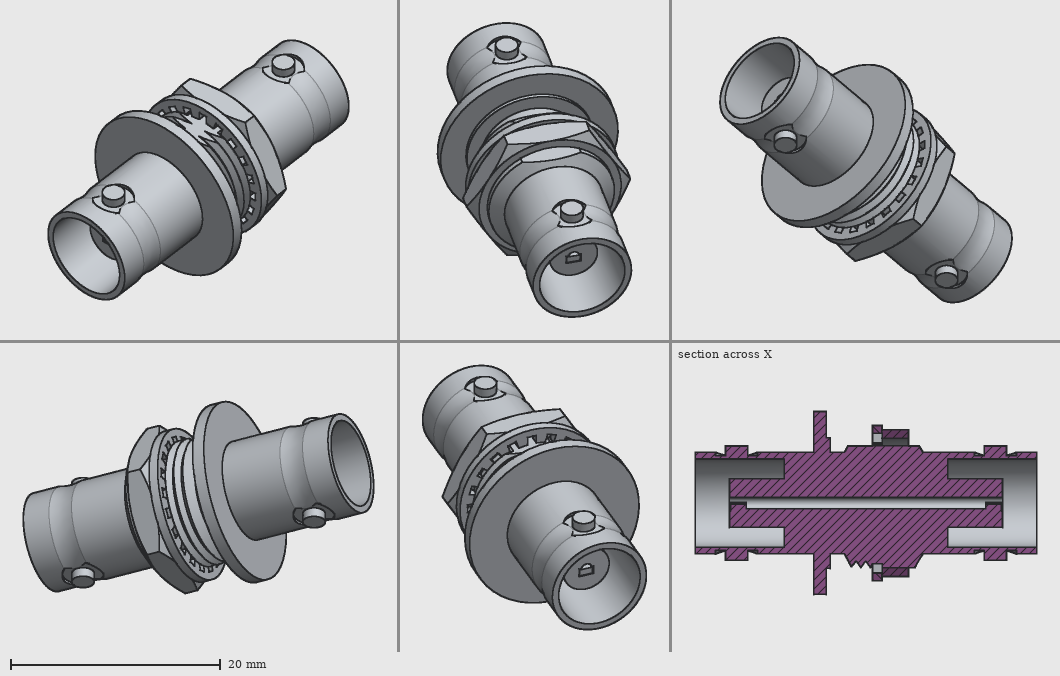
import cadquery as cq
import math


LENGTH = 32.55
END_Y = LENGTH / 2
TUBE_R = 4.85
BORE_R = 4.2
BORE_DEPTH = 8.45

INSULATOR_R = 2.35
INSULATOR_DEPTH = 3.25
CONTACT_HOLE_R = 0.52
SLOT_HALF_WIDTH = 0.75
SLOT_BOTTOM_Z = -0.75
SLOT_TOP_Z = 0.1
SLOT_DEPTH = 1.63
BLOCK_HALF_WIDTH = 0.65
BLOCK_TOP_Z = -0.05
BLOCK_RECESS = 0.1

STUD_INSET = 3.95
STUD_R = 1.07
STUD_TIP_Z = 5.47
SPOT_R = 2.0
SPOT_Z = 4.53
GROOVE_HALF_WIDTH = 1.2
GROOVE_BOTTOM_R = 4.7

FLANGE_R = 17.5 / 2
FLANGE_Y = -4.98
FLANGE_THICKNESS = 1.2
SEAT_R = 6.25
SEAT_THICKNESS = 0.4

THREAD_R = 6.2
FIRST_CREST_R = 6.1
ROOT_R = 5.55
THREAD_START_Y = -2.05
FIRST_CREST_Y = -1.4
PITCH = 0.9
CREST_COUNT = 3
THREAD_END_Y = 5.45
END_CHAMFER = 0.78
FLAT_Z = 5.47

WASHER_R = 7.42
WASHER_BORE_R = 5.8
WASHER_Y = 0.62
WASHER_THICKNESS = 0.9
TOOTH_COUNT = 20
GAP_WIDTH = 0.9
GAP_END_R = 6.65

NUT_Y = WASHER_Y + WASHER_THICKNESS
NUT_THICKNESS = 2.55
NUT_SIDES = 6
NUT_ACROSS_FLATS = 14.0
NUT_FACE_R = NUT_ACROSS_FLATS / 2
NUT_CHAMFER_ANGLE = 30.0

CUT_MARGIN = 0.33
FULL_TURN = 360
Y_AXIS = ((0, 0, 0), (0, 1, 0))


def rod(radius, y_start, length):
    """Cylinder along Y from y_start towards +Y."""
    return cq.Workplane(cq.Solid.makeCylinder(radius, length, cq.Vector(0, y_start, 0), cq.Vector(0, 1, 0)))


def block(x_half, y_start, length, z_bottom, z_top):
    """Box centred on X, from y_start towards +Y."""
    corner = (-x_half, y_start, z_bottom)
    return cq.Workplane("XY").box(2 * x_half, length, z_top - z_bottom, centered=False).translate(corner)


def threaded_middle():
    """Turned thread with ring-shaped ridges, a washer relief and a plain length under the nut."""
    profile = [(0, THREAD_START_Y), (TUBE_R, THREAD_START_Y), (FIRST_CREST_R, FIRST_CREST_Y)]
    for ridge in range(1, CREST_COUNT):
        crest_y = FIRST_CREST_Y + ridge * PITCH
        profile.append((ROOT_R, crest_y - PITCH / 2))
        profile.append((THREAD_R, crest_y))
    profile += [
        (WASHER_BORE_R, WASHER_Y),
        (WASHER_BORE_R, NUT_Y),
        (THREAD_R, NUT_Y),
        (THREAD_R, THREAD_END_Y - END_CHAMFER),
        (TUBE_R, THREAD_END_Y),
        (0, THREAD_END_Y),
    ]
    turned = cq.Workplane("XY").polyline(profile).close().revolve(FULL_TURN, *Y_AXIS)
    length = THREAD_END_Y - THREAD_START_Y
    above_flat = block(THREAD_R, THREAD_START_Y, length, FLAT_Z, 2 * FLAT_Z)
    return turned.cut(above_flat)


def bayonet_groove(center_y):
    """Ring with a shallow round inner side that cuts the bayonet groove."""
    outside_r = TUBE_R + CUT_MARGIN
    return (
        cq.Workplane("XY")
        .moveTo(outside_r, center_y - GROOVE_HALF_WIDTH)
        .lineTo(TUBE_R, center_y - GROOVE_HALF_WIDTH)
        .threePointArc((GROOVE_BOTTOM_R, center_y), (TUBE_R, center_y + GROOVE_HALF_WIDTH))
        .lineTo(outside_r, center_y + GROOVE_HALF_WIDTH)
        .close()
        .revolve(FULL_TURN, *Y_AXIS)
    )


def spot_face(center_y, side):
    """Round cutter that flattens the tube around a stud on the +Z or -Z side."""
    plane = cq.Workplane("XY", origin=(0, center_y, side * SPOT_Z))
    return plane.circle(SPOT_R).extrude(side * (TUBE_R - SPOT_Z))


def stud(center_y, side):
    """Bayonet stud rooted in the tube wall on the +Z or -Z side."""
    plane = cq.Workplane("XY", origin=(0, center_y, side * BORE_R))
    return plane.circle(STUD_R).extrude(side * (STUD_TIP_Z - BORE_R))


def front_half():
    """Front tube from the -Y end to the middle, with its bayonet details and contact opening."""
    stud_y = -END_Y + STUD_INSET
    face_y = -END_Y + INSULATOR_DEPTH
    half = rod(TUBE_R, -END_Y, END_Y).cut(bayonet_groove(stud_y))
    for side in (1, -1):
        half = half.cut(spot_face(stud_y, side)).union(stud(stud_y, side))
    half = half.cut(rod(BORE_R, -END_Y, BORE_DEPTH))
    half = half.union(rod(INSULATOR_R, face_y, END_Y - INSULATOR_DEPTH))
    half = half.cut(rod(CONTACT_HOLE_R, face_y, END_Y - INSULATOR_DEPTH))
    half = half.cut(block(SLOT_HALF_WIDTH, face_y, SLOT_DEPTH, SLOT_BOTTOM_Z, SLOT_TOP_Z))
    block_length = SLOT_DEPTH - BLOCK_RECESS
    contact = block(BLOCK_HALF_WIDTH, face_y + BLOCK_RECESS, block_length, SLOT_BOTTOM_Z, BLOCK_TOP_Z)
    return half.union(contact)


def make_connector():
    """Connector body: two alike tubes, flange, seat and thread in one piece."""
    front = front_half()
    ends = front.union(front.mirror("XZ"))
    flange = rod(FLANGE_R, FLANGE_Y, FLANGE_THICKNESS)
    seat = rod(SEAT_R, FLANGE_Y + FLANGE_THICKNESS, SEAT_THICKNESS)
    collar = flange.union(seat).union(threaded_middle())
    collar = collar.cut(rod(BORE_R, -END_Y, LENGTH))
    return ends.union(collar)


def make_washer():
    """Lock washer with square gaps between its inner teeth."""
    washer = rod(WASHER_R, WASHER_Y, WASHER_THICKNESS).cut(rod(WASHER_BORE_R, WASHER_Y, WASHER_THICKNESS))
    gap = block(GAP_WIDTH / 2, WASHER_Y, WASHER_THICKNESS, WASHER_BORE_R - CUT_MARGIN, GAP_END_R)
    for tooth in range(TOOTH_COUNT):
        washer = washer.cut(gap.rotate(*Y_AXIS, tooth * FULL_TURN / TOOTH_COUNT))
    return washer


def make_nut():
    """Hexagon nut with flats on +Z and -Z and both faces chamfered round."""
    corner_r = NUT_ACROSS_FLATS / math.sqrt(3)
    drop = (corner_r - NUT_FACE_R) * math.tan(math.radians(NUT_CHAMFER_ANGLE))
    end_y = NUT_Y + NUT_THICKNESS
    hexagon = (
        cq.Workplane("XZ", origin=(0, NUT_Y, 0))
        .polygon(NUT_SIDES, 2 * corner_r)
        .extrude(-NUT_THICKNESS)
    )
    envelope = (
        cq.Workplane("XY")
        .polyline([
            (THREAD_R, NUT_Y),
            (NUT_FACE_R, NUT_Y),
            (corner_r, NUT_Y + drop),
            (corner_r, end_y - drop),
            (NUT_FACE_R, end_y),
            (THREAD_R, end_y),
        ])
        .close()
        .revolve(FULL_TURN, *Y_AXIS)
    )
    return hexagon.intersect(envelope)


connector = make_connector().solids()
washer = make_washer().solids()
nut = make_nut().solids()

result = cq.Compound.makeCompound([connector.val(), washer.val(), nut.val()])